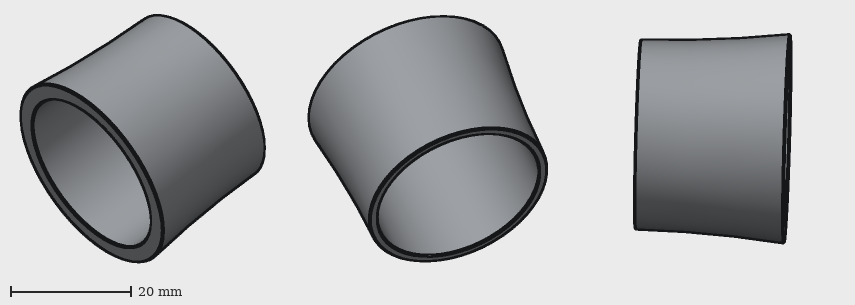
import cadquery as cq

length = 25.0
wide_radius = 17.43
narrow_radius = 15.85
bore_radius = 14.3
edge_break = 0.25

flare = wide_radius - narrow_radius
arc_length = length - 2 * edge_break
arc_radius = (arc_length**2 + flare**2) / (2 * flare)
middle_drop = arc_radius - (arc_radius**2 - (arc_length / 2) ** 2) ** 0.5
arc_middle = (narrow_radius + middle_drop, length / 2)

section = (
    cq.Workplane("XY")
    .moveTo(bore_radius + edge_break, 0)
    .lineTo(wide_radius - edge_break, 0)
    .lineTo(wide_radius, edge_break)
    .threePointArc(arc_middle, (narrow_radius, length - edge_break))
    .lineTo(narrow_radius - edge_break, length)
    .lineTo(bore_radius + edge_break, length)
    .lineTo(bore_radius, length - edge_break)
    .lineTo(bore_radius, edge_break)
    .close()
)

result = section.revolve(360, (0, 0, 0), (0, 1, 0))